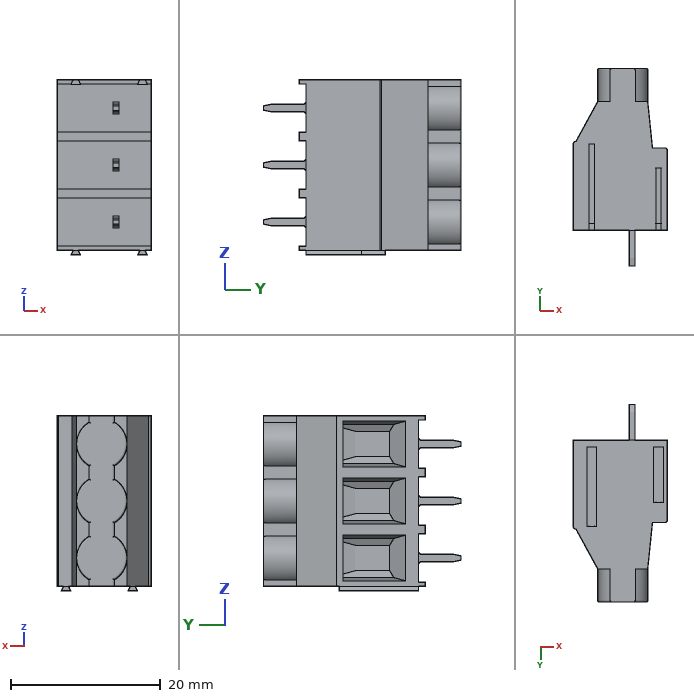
import cadquery as cq
import math


POLES = 3
PITCH = 7.62
HEIGHT = POLES * PITCH
WIDTH = 12.6
LEFT = -WIDTH / 2
RIGHT = WIDTH / 2

SCREW_TOP = 20.75
SHOULDER = 16.3
WIRE_FACE_TOP = 10.62
STEP = 10.1
RAIL_DEPTH = 0.93
PIN_LENGTH = 5.7

SCREW_X = 0.33
SCREW_RADIUS = 3.36
WEB_WIDTH = 3.36
RIM_FILLET = 0.25

SLOPE_FOOT_RADIUS = 0.37
STEP_X = 4.32
STEP_CHAMFER = 0.2

RAIL_HALF = 0.6

DOVETAILS = [(-3.81, WIRE_FACE_TOP), (5.11, 7.4)]
DOVETAIL_NECK = 0.7
DOVETAIL_BASE = 1.3
TONGUE_HEIGHT = 0.6
GROOVE_DEPTH = 0.65

ENTRY_BOTTOM = 1.77
ENTRY_TOP = 10.13
ENTRY_HEIGHT = 6.1
ENTRY_DEPTH = 2.2
FLOOR_BOTTOM = 3.86
FLOOR_TOP = 8.46
FLOOR_HEIGHT = 3.4
TOP_WALL_DEPTH = 1.9
KINK_DEPTH = 1.6
KINK_HEIGHT = 5.24

PIN_X = 1.58
PIN_THICKNESS = 0.8
PIN_WIDTH = 1.03
PIN_ROOT_WIDTH = 1.6
PIN_ROOT_LENGTH = 0.25
PIN_TIP_WIDTH = 0.6
PIN_TIP_LENGTH = 1.05

POLE_CENTRES = [(pole + 0.5) * PITCH for pole in range(POLES)]


def box(x_range, y_range, z_range):
    """Axis-aligned box from three (low, high) pairs."""
    low, high = zip(x_range, y_range, z_range)
    size = [b - a for a, b in zip(low, high)]
    return cq.Workplane("XY").box(*size, centered=False).translate(low)


def housing():
    """Housing cross-section, including the rail depth, extruded over all poles."""
    foot_radius = SLOPE_FOOT_RADIUS
    foot_arc_inset = foot_radius * (1 - math.sqrt(0.5))
    foot_arc_middle = (LEFT + foot_arc_inset, WIRE_FACE_TOP + foot_radius * math.sqrt(0.5))
    outline = [
        (LEFT, -RAIL_DEPTH),
        (RIGHT, -RAIL_DEPTH),
        (RIGHT, STEP - STEP_CHAMFER),
        (RIGHT - STEP_CHAMFER, STEP),
        (STEP_X, STEP),
        (SCREW_X + SCREW_RADIUS, SHOULDER),
        (SCREW_X - SCREW_RADIUS, SHOULDER),
        (LEFT + foot_radius, WIRE_FACE_TOP + foot_radius),
    ]
    profile = cq.Workplane("XY").polyline(outline).threePointArc(foot_arc_middle, (LEFT, WIRE_FACE_TOP))
    return profile.close().extrude(HEIGHT)


def rail_gap(z_centre):
    """Clearance between two neighbouring standoff rails."""
    half_gap = PITCH / 2 - RAIL_HALF
    return box((LEFT, RIGHT), (-RAIL_DEPTH, 0), (z_centre - half_gap, z_centre + half_gap))


def screw_barrels():
    """Round barrels joined by a full-height web, with a rounded top rim."""
    half_web = WEB_WIDTH / 2
    barrels = box((SCREW_X - half_web, SCREW_X + half_web), (SHOULDER, SCREW_TOP), (0, HEIGHT))
    barrels = barrels.faces(">Y").edges("|Z").fillet(RIM_FILLET)
    for z_centre in POLE_CENTRES:
        barrel = (
            cq.Workplane("XZ", origin=(SCREW_X, SHOULDER, z_centre))
            .circle(SCREW_RADIUS)
            .extrude(SHOULDER - SCREW_TOP)
            .faces(">Y").edges().fillet(RIM_FILLET)
        )
        barrels = barrels.union(barrel)
    return barrels


def wire_entry(z_centre):
    """Funnel pocket: the overlap of its XY profile and its XZ profile."""
    floor_x = LEFT + ENTRY_DEPTH
    plan = [
        (LEFT, ENTRY_BOTTOM),
        (floor_x, FLOOR_BOTTOM),
        (floor_x, FLOOR_TOP),
        (LEFT + TOP_WALL_DEPTH, ENTRY_TOP),
        (LEFT, ENTRY_TOP),
    ]
    upper_side = [
        (LEFT, ENTRY_HEIGHT / 2),
        (LEFT + KINK_DEPTH, KINK_HEIGHT / 2),
        (floor_x, FLOOR_HEIGHT / 2),
    ]
    lower_side = [(x, -z) for x, z in reversed(upper_side)]
    plan_prism = cq.Workplane("XY").polyline(plan).close().extrude(ENTRY_HEIGHT / 2, both=True)
    side_prism = cq.Workplane("XZ").polyline(upper_side + lower_side).close().extrude(-ENTRY_TOP)
    return plan_prism.intersect(side_prism).translate((0, 0, z_centre))


def dovetail(x_centre, z_neck, height, y_low, y_high):
    """Dovetail bar along Y, widening downwards from its neck."""
    z_base = z_neck - height
    section = [
        (x_centre - DOVETAIL_NECK / 2, z_neck),
        (x_centre + DOVETAIL_NECK / 2, z_neck),
        (x_centre + DOVETAIL_BASE / 2, z_base),
        (x_centre - DOVETAIL_BASE / 2, z_base),
    ]
    bar = cq.Workplane("XZ", origin=(0, y_low, 0)).polyline(section).close()
    return bar.extrude(y_low - y_high)


def pin(z_centre):
    """Flat solder pin with a flared root and a tapered tip."""
    tip_start = PIN_TIP_LENGTH - PIN_LENGTH
    one_edge = [
        (0, PIN_ROOT_WIDTH / 2),
        (-PIN_ROOT_LENGTH, PIN_WIDTH / 2),
        (tip_start, PIN_WIDTH / 2),
        (-PIN_LENGTH, PIN_TIP_WIDTH / 2),
    ]
    other_edge = [(y, -z) for y, z in reversed(one_edge)]
    blade = cq.Workplane("YZ").polyline(one_edge + other_edge).close()
    return blade.extrude(PIN_THICKNESS / 2, both=True).translate((PIN_X, 0, z_centre))


result = housing().union(screw_barrels())

for pole_z in POLE_CENTRES:
    result = result.cut(rail_gap(pole_z))
    result = result.cut(wire_entry(pole_z))
    result = result.union(pin(pole_z))

for dovetail_x, dovetail_end in DOVETAILS:
    result = result.cut(dovetail(dovetail_x, HEIGHT, GROOVE_DEPTH, -RAIL_DEPTH, dovetail_end))
    result = result.union(dovetail(dovetail_x, 0, TONGUE_HEIGHT, 0, dovetail_end))